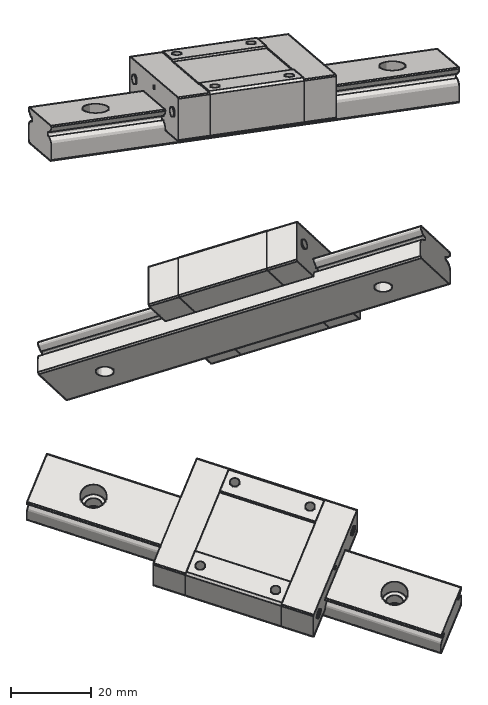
import cadquery as cq
import math

TOLERANCE = 0.01
FULL_TURN = 360

rail_length = 110.0
rail_width = 15.0
rail_height = 9.5
rail_bottom_chamfer = 0.4
rail_top_chamfer = 0.3
shoulder_height = 5.2
shoulder_radius = 1.8
lip_height = 8.6
lip_radius = 1.1
flank_end_width = 12.0
slot_floor_width = 10.2
slot_low = 6.2
slot_high = 7.3

rail_hole_pitch = 80.0
rail_hole_diameter = 4.5
rail_counterbore_diameter = 6.6
rail_counterbore_depth = 5.3

carriage_width = 32.0
carriage_center_y = -3.0
carriage_underside = 4.0
block_length = 25.4
block_front = carriage_center_y - block_length / 2
block_back = carriage_center_y + block_length / 2
block_top = 16.0
block_top_chamfer = 0.7
carriage_bottom_chamfer = 0.38
recess_width = 18.0
recess_depth = 0.5
recess_wall_run = 0.2

mount_pitch_x = 25.1
mount_pitch_y = 20.0
mount_hole_diameter = 2.4
mount_hole_depth = 4.4
drill_tip_angle = 118

cap_length = 8.6
cap_front = block_front - cap_length
cap_top = 15.6
cap_top_chamfer = 0.3
grease_hole_diameter = 1.0
grease_hole_height = 12.9
grease_hole_depth = 3.3
screw_spacing = 25.0
screw_height = 10.7
screw_positions = [(side * screw_spacing / 2, screw_height) for side in (-1, 1)]
screw_bore_diameter = 1.5
screw_head_diameter = 2.5
screw_head_projection = 0.3


def prism(points, y_start, length):
    """Extrude an XZ outline along +Y from y_start."""
    return cq.Workplane("XZ", origin=(0, y_start, 0)).polyline(points).close().extrude(-length)


def mirrored(right):
    """Close an outline symmetric about X = 0 from its right half, listed bottom to top."""
    left = [(-x, z) for x, z in reversed(right)]
    return right + left


def carriage_profile(top, top_chamfer):
    """Outline of the block or a cap, with chamfered corners and no rail channel."""
    half = carriage_width / 2
    right = [
        (half - carriage_bottom_chamfer, carriage_underside),
        (half, carriage_underside + carriage_bottom_chamfer),
        (half, top - top_chamfer),
        (half - top_chamfer, top),
    ]
    return mirrored(right)


def raceway(side, y_start, length):
    """Cutter for the raceway on one side of the rail (side is +1 or -1)."""
    half = rail_width / 2
    slot_radius = (slot_high - slot_low) / 2
    slot_floor = slot_floor_width / 2
    return (
        cq.Workplane("XZ", origin=(0, y_start, 0))
        .moveTo(side * half, shoulder_height)
        .lineTo(side * flank_end_width / 2, slot_low)
        .lineTo(side * (slot_floor + slot_radius), slot_low)
        .threePointArc(
            (side * slot_floor, slot_low + slot_radius),
            (side * (slot_floor + slot_radius), slot_high),
        )
        .lineTo(side * flank_end_width / 2, slot_high)
        .lineTo(side * half, lip_height)
        .close()
        .extrude(-length)
    )


def long_edges_at(body, height):
    """The edges along Y on both rail sides at the given height."""
    edges = body.edges("|Y").filter(
        lambda edge: abs(edge.Center().z - height) < TOLERANCE
        and abs(abs(edge.Center().x) - rail_width / 2) < TOLERANCE
    )
    return body.newObject(edges.vals())


def rail_envelope(y_start, length):
    """Rail section without bolt holes, as a bar along Y."""
    half = rail_width / 2
    right = [
        (half - rail_bottom_chamfer, 0),
        (half, rail_bottom_chamfer),
        (half, rail_height - rail_top_chamfer),
        (half - rail_top_chamfer, rail_height),
    ]
    body = prism(mirrored(right), y_start, length)
    for side in (-1, 1):
        body = body.cut(raceway(side, y_start, length))
    body = long_edges_at(body, shoulder_height).fillet(shoulder_radius)
    return long_edges_at(body, lip_height).fillet(lip_radius)


def make_rail():
    """Rail with two counterbored bolt holes."""
    body = rail_envelope(-rail_length / 2, rail_length)
    return (
        body.faces(">Z")
        .workplane(origin=(0, 0, rail_height))
        .rarray(1.1, rail_hole_pitch, 1, 2)
        .cboreHole(rail_hole_diameter, rail_counterbore_diameter, rail_counterbore_depth)
    )


def drilled_hole():
    """Cutter for one mounting hole with a conical drill tip, opening at Z = 0."""
    radius = mount_hole_diameter / 2
    tip_depth = radius / math.tan(math.radians(drill_tip_angle / 2))
    outline = [(0, 0), (radius, 0), (radius, -mount_hole_depth), (0, -mount_hole_depth - tip_depth)]
    profile = cq.Workplane("XZ").polyline(outline).close()
    return profile.revolve(FULL_TURN, (0, 0, 0), (0, 1, 0)).val()


def top_recess():
    """Cutter for the shallow recess along the middle of the block top."""
    half = recess_width / 2
    right = [(half - recess_wall_run, block_top - recess_depth), (half, block_top)]
    return prism(mirrored(right), block_front, block_length)


def screw_bores():
    """Cutters for the two bores along the block, in line with the screw heads."""
    return (
        cq.Workplane("XZ", origin=(0, block_front, 0))
        .pushPoints(screw_positions)
        .circle(screw_bore_diameter / 2)
        .extrude(-block_length)
    )


def make_block():
    """Carriage block with rail channel, recess, bores and mounting holes."""
    body = prism(carriage_profile(block_top, block_top_chamfer), block_front, block_length)
    body = body.cut(rail_envelope(block_front, block_length)).cut(top_recess()).cut(screw_bores())
    mount_holes = (
        cq.Workplane(origin=(0, carriage_center_y, block_top))
        .rarray(mount_pitch_x, mount_pitch_y, 2, 2)
        .eachpoint(drilled_hole(), combine=False)
    )
    for hole in mount_holes.vals():
        body = body.cut(cq.Workplane(hole))
    return body


def make_cap(y_start):
    """Plain end cap, fitted around the rail."""
    body = prism(carriage_profile(cap_top, cap_top_chamfer), y_start, cap_length)
    return body.cut(rail_envelope(y_start, cap_length))


def add_front_details(cap):
    """Two screw heads and a grease hole on the outer face of the -Y cap."""
    face = cq.Workplane("XZ", origin=(0, cap_front, 0))
    heads = (
        face.pushPoints(screw_positions)
        .circle(screw_head_diameter / 2)
        .extrude(screw_head_projection)
    )
    grease_hole = (
        face.center(0, grease_hole_height).circle(grease_hole_diameter / 2).extrude(-grease_hole_depth)
    )
    return cap.union(heads).cut(grease_hole)


rail = make_rail()
block = make_block()
front_cap = add_front_details(make_cap(cap_front))
back_cap = make_cap(block_back)

result = cq.Compound.makeCompound([rail.val(), block.val(), front_cap.val(), back_cap.val()])